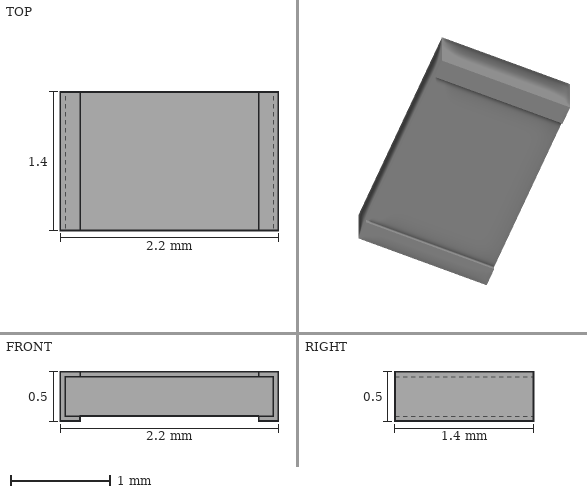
import cadquery as cq

LENGTH = 2.2
WIDTH = 1.4
HEIGHT = 0.5

PLATING = 0.05
TERMINAL_REACH = 0.2

CORE_LENGTH = LENGTH - 2 * PLATING
CORE_HEIGHT = HEIGHT - 2 * PLATING
COATING_LENGTH = LENGTH - 2 * TERMINAL_REACH


def make_core():
    """Ceramic block, centred on the origin."""
    return cq.Workplane("XY").box(CORE_LENGTH, WIDTH, CORE_HEIGHT)


def make_coating():
    """Protective layer on the core, flush with the tops of the terminals."""
    coating_centre_z = (HEIGHT - PLATING) / 2
    return (
        cq.Workplane("XY")
        .box(COATING_LENGTH, WIDTH, PLATING)
        .translate((0, 0, coating_centre_z))
    )


def make_terminal(side):
    """C-shaped terminal around one end of the core; side is -1 or +1 along X."""
    terminal_centre_x = side * (LENGTH - TERMINAL_REACH) / 2
    block = (
        cq.Workplane("XY")
        .box(TERMINAL_REACH, WIDTH, HEIGHT)
        .translate((terminal_centre_x, 0, 0))
    )
    return block.cut(make_core())


core = make_core()
coating = make_coating()
terminals = [make_terminal(side) for side in (-1, 1)]

result = cq.Compound.makeCompound(
    [core.val(), coating.val(), *[terminal.solids().val() for terminal in terminals]]
)